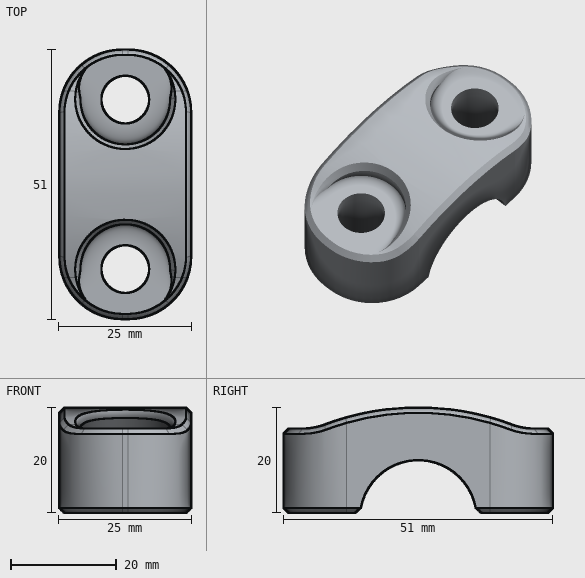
import cadquery as cq
import math

length = 51.0
width = 25.0
height = 20.0
corner_radius = 12.0
edge_chamfer = 1.0

crown_radius = 50.0
blend_radius = 12.0
pad_height = 16.0

saddle_radius = 11.0
saddle_drop = 1.0

hole_diameter = 9.0
hole_offset = 16.0
hole_centers = [(0, -hole_offset), (0, hole_offset)]
counterbore_radius = length / 2 - edge_chamfer - hole_offset
counterbore_overcut = 4.1

selection_margin = 0.05


def crowned_block(block_length, block_width):
    """Straight-sided block whose top is a crown with a concave blend to each pad."""
    crown_center = height - crown_radius
    blend_center_z = pad_height + blend_radius
    center_distance = crown_radius + blend_radius
    blend_center_y = math.sqrt(center_distance**2 - (blend_center_z - crown_center) ** 2)

    meet_y = blend_center_y * crown_radius / center_distance
    meet_z = crown_center + (blend_center_z - crown_center) * crown_radius / center_distance

    half_blend_angle = math.asin(blend_center_y / center_distance) / 2
    blend_mid_y = blend_center_y - blend_radius * math.sin(half_blend_angle)
    blend_mid_z = blend_center_z - blend_radius * math.cos(half_blend_angle)

    end = block_length / 2
    return (
        cq.Workplane("YZ")
        .moveTo(-end, 0)
        .lineTo(end, 0)
        .lineTo(end, pad_height)
        .lineTo(blend_center_y, pad_height)
        .threePointArc((blend_mid_y, blend_mid_z), (meet_y, meet_z))
        .threePointArc((0, height), (-meet_y, meet_z))
        .threePointArc((-blend_mid_y, blend_mid_z), (-blend_center_y, pad_height))
        .lineTo(-end, pad_height)
        .close()
        .extrude(block_width / 2, both=True)
    )


def clamp_body():
    """Rounded clamp with the saddle cut, chamfered around its top and bottom."""
    saddle = (
        cq.Workplane("YZ")
        .center(0, -saddle_drop)
        .circle(saddle_radius)
        .extrude(width, both=True)
    )
    top_edges = cq.selectors.BoxSelector(
        (-width, -length, pad_height - selection_margin),
        (width, length, height + selection_margin),
    )
    return (
        crowned_block(length, width)
        .edges("|Z")
        .fillet(corner_radius)
        .edges(top_edges)
        .edges("not(|X)")
        .chamfer(edge_chamfer)
        .cut(saddle)
        .faces("<Z")
        .edges()
        .chamfer(edge_chamfer)
    )


def counterbore_envelope():
    """Oversized crowned block with chamfered counterbores, floored level with the pads."""
    block_length = 2 * length
    block_width = 2 * width
    floor_height = pad_height - counterbore_overcut

    bores = (
        cq.Workplane("XY", origin=(0, 0, floor_height))
        .pushPoints(hole_centers)
        .circle(counterbore_radius)
        .extrude(height)
    )
    rim_edges = cq.selectors.BoxSelector(
        (-width / 2, -length / 2, pad_height - selection_margin),
        (width / 2, length / 2, height + selection_margin),
    )
    envelope = (
        crowned_block(block_length, block_width)
        .cut(bores)
        .edges(rim_edges)
        .edges("not(|X)")
        .chamfer(edge_chamfer)
    )
    floor = cq.Workplane("XY").box(block_width, block_length, pad_height, centered=(True, True, False))
    return envelope.union(floor)


def screw_holes():
    """Two plain holes through the full height."""
    return (
        cq.Workplane("XY")
        .pushPoints(hole_centers)
        .circle(hole_diameter / 2)
        .extrude(height)
    )


result = clamp_body().intersect(counterbore_envelope()).cut(screw_holes())